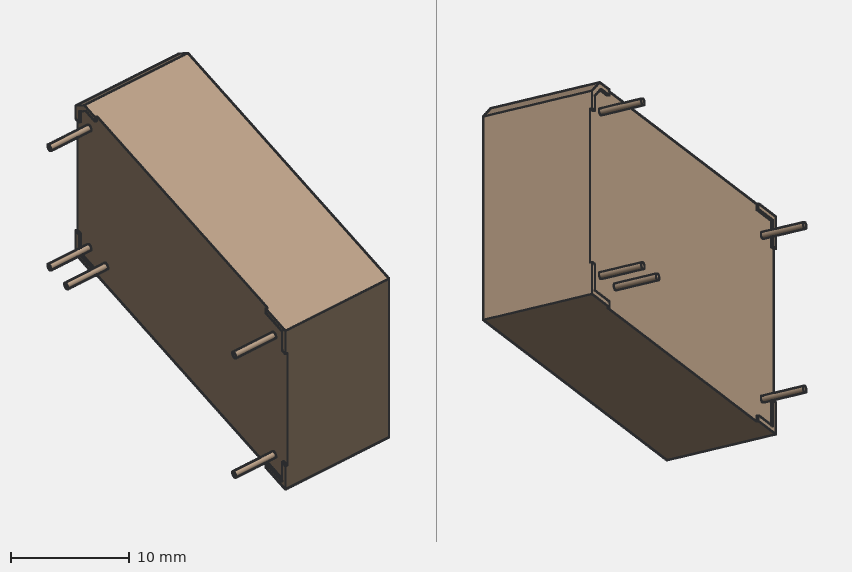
import cadquery as cq

length = 31.8
height = 20.3
depth_over_feet = 10.53
depth_over_pins = 14.4
corner_chamfer = 1.35

foot_length = 3.0
foot_width = 0.55
foot_height = 0.2

pin_diameter = 0.6
pin_pitch = 2.55
pin_inset_x = 1.85
pin_span_x = 11 * pin_pitch
pin_span_z = 6 * pin_pitch
pin_left = pin_inset_x - length / 2
pin_right = pin_left + pin_span_x
pin_bottom = -pin_span_z / 2
pin_top = pin_span_z / 2

case_depth = depth_over_feet - foot_height


def chamfered_block(inset, depth):
    """Block with its edges moved in by inset and its upper left corner cut parallel to the case."""
    block = (
        cq.Workplane("XZ")
        .rect(length - 2 * inset, height - 2 * inset)
        .extrude(depth)
    )
    leg = corner_chamfer - inset * (2 - 2**0.5)
    return block.edges("|Y and <X and >Z").chamfer(leg)


def standoff_feet():
    """Thin rim around the pin face, kept only at the four corners."""
    rim = chamfered_block(0, depth_over_feet).cut(chamfered_block(foot_width, depth_over_feet))
    corners = (
        cq.Workplane("XZ", origin=(0, -case_depth, 0))
        .rect(length - foot_length, height - foot_length, forConstruction=True)
        .vertices()
        .rect(foot_length, foot_length)
        .extrude(foot_height)
    )
    return rim.intersect(corners)


def pins():
    """Five round pins standing on the case face."""
    positions = [
        (pin_left, pin_bottom),
        (pin_left + pin_pitch, pin_bottom),
        (pin_right, pin_bottom),
        (pin_left, pin_top),
        (pin_right, pin_top),
    ]
    return (
        cq.Workplane("XZ", origin=(0, -case_depth, 0))
        .pushPoints(positions)
        .circle(pin_diameter / 2)
        .extrude(depth_over_pins - case_depth)
    )


result = chamfered_block(0, case_depth).union(standoff_feet()).union(pins())